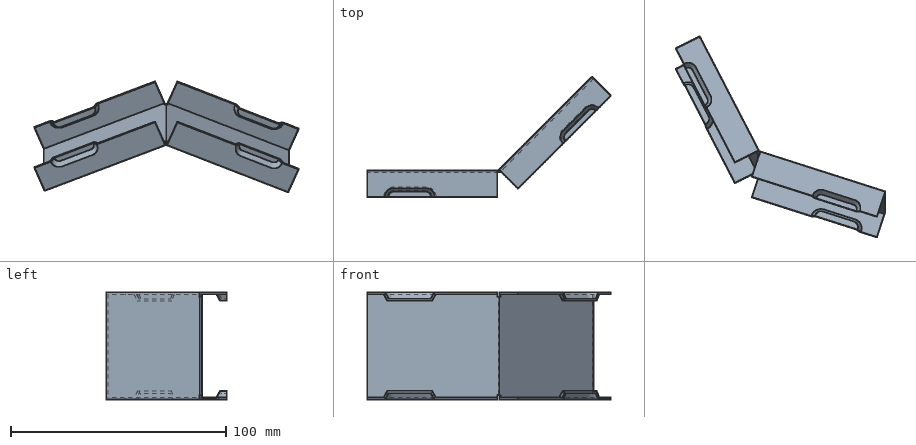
import cadquery as cq
import math

overall_length = 113.3
overall_width = 56.0
height = 50.0
depth = 12.5
sheet = 1.0
fold_angle = 45.0
flange_gap = 0.5
relief = 2.2

grip_from_end = 19.8
grip_straight = 15.1
grip_rim_radius = 4.0
grip_inset = 0.2
grip_draft = 29.0
grip_drop = 3.1

fold = math.radians(fold_angle)
half_height = height / 2
wing_reach = (overall_width - depth) / math.sin(fold)
crease_x = overall_length - wing_reach * math.cos(fold) - depth * math.sin(fold)
base_length = crease_x - flange_gap
wing_length = wing_reach - flange_gap

wall_offset = sheet / math.cos(math.radians(grip_draft))
grip_outer_radius = grip_rim_radius + wall_offset


def tapered_grip(radius, drop):
    """Slot-shaped frustum going down from the outside of the top flange."""
    return (
        cq.Workplane("XY", origin=(grip_from_end, grip_inset - depth, half_height))
        .slot2D(grip_straight + 2 * radius, 2 * radius)
        .extrude(-drop, taper=grip_draft)
    )


def make_channel(length):
    """U channel with its back face on Y = 0 and its grip end at X = 0."""
    envelope = cq.Workplane("XY").box(length, depth, height, centered=(False, False, True))
    envelope = envelope.translate((0, -depth, 0))
    hollow = (
        cq.Workplane("XY")
        .box(length, depth, height - 2 * sheet, centered=(False, False, True))
        .translate((0, -depth - sheet, 0))
    )
    channel = envelope.cut(hollow)

    shell = tapered_grip(grip_outer_radius, grip_drop + sheet).intersect(envelope)
    recess = tapered_grip(grip_rim_radius, grip_drop)
    channel = channel.union(shell).union(shell.mirror("XY"))
    return channel.cut(recess).cut(recess.mirror("XY"))


def make_fold():
    """Sharp-creased strip joining the back walls, shortened by the corner reliefs."""
    strip_height = height - 2 * relief
    wing_back = (
        crease_x + flange_gap * math.cos(fold),
        flange_gap * math.sin(fold),
    )
    wing_front = (
        wing_back[0] + sheet * math.sin(fold),
        wing_back[1] - sheet * math.cos(fold),
    )
    front_crease = (crease_x + sheet * math.tan(fold / 2), -sheet)
    return (
        cq.Workplane("XY", origin=(0, 0, -strip_height / 2))
        .polyline([
            (base_length, 0),
            (crease_x, 0),
            wing_back,
            wing_front,
            front_crease,
            (base_length, -sheet),
        ])
        .close()
        .extrude(strip_height)
    )


base = make_channel(base_length)

wing = (
    make_channel(wing_length)
    .mirror("YZ")
    .translate((wing_reach, 0, 0))
    .rotate((0, 0, 0), (0, 0, 1), fold_angle)
    .translate((crease_x, 0, 0))
)

result = base.union(make_fold()).union(wing).clean()